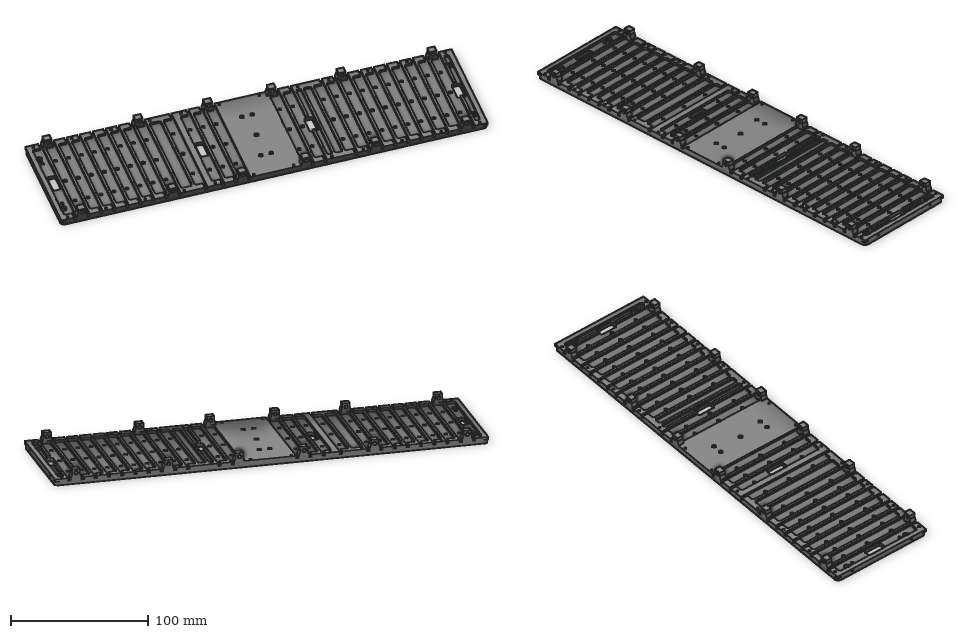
import cadquery as cq

plate_length = 327.5
plate_width = 83.0
plate_height = 5.0
total_height = 11.5

outer_post_spacing = 295.7
middle_post_spacing = 156.0
inner_post_spacing = 48.8
post_width = 5.0
post_length = 5.5
post_taper_top = 8.2
post_hole = 2.5
post_hole_z = 8.5

seat_depth = 2.0
rib_width = 2.0
rim_width = 5.0
pocket_radius = 1.5
narrow_pocket_length = 4.0
pitches_between_outer_posts = 7
upper_seats = 10
lower_seats = 9
upper_inner_seats = 2
lower_inner_seats = 3
lone_seat_y = -51.5

window_width = 15.0
window_length = 6.5
window_radius = 1.5
window_ys = (-155.2, -42.0, 42.0, 155.2)

seat_hole_x = 22.3
seat_side_hole = 2.3
seat_center_hole = 2.5
mount_hole = 3.0
mount_center_hole = 3.3
mount_x = 21.5
mount_y = 4.0
edge_hole = 1.5
edge_hole_x = 39.3
edge_hole_ys = (15.5, 45.0, 68.8, 98.5, 128.7, 158.2)

screw_x = 27.5
screw_z = 3.3
screw_hole = 1.5
well_radius = 2.5
well_center_y = 158.0
well_flat_y = 159.2

corner_radius = 3.3
corner_height = 3.0

half_width = plate_width / 2
half_length = plate_length / 2
outer_post_y = outer_post_spacing / 2
middle_post_y = middle_post_spacing / 2
inner_post_y = inner_post_spacing / 2
pitch = (outer_post_y - middle_post_y) / pitches_between_outer_posts
floor_z = plate_height - seat_depth
land_length = pitch - rib_width
post_to_wall = land_length / 2 + rib_width

upper_wall = outer_post_y + post_to_wall
upper_inner_wall = inner_post_y + post_to_wall + pitch
lower_inner_wall = -inner_post_y + post_to_wall
lower_wall = -middle_post_y + post_to_wall
seat_groups = (
    (upper_wall, upper_seats),
    (upper_inner_wall, upper_inner_seats),
    (lower_inner_wall, lower_inner_seats),
    (lone_seat_y, 1),
    (lower_wall, lower_seats),
)
wall_ys = [first - i * pitch for first, count in seat_groups for i in range(count)]


def pocket(top_y, bottom_y):
    """Round-cornered pocket between two Y positions."""
    return (
        cq.Workplane("XY", origin=(0, (top_y + bottom_y) / 2, floor_z))
        .rect(plate_width - 2 * rim_width, top_y - bottom_y)
        .extrude(seat_depth)
        .edges("|Z")
        .fillet(pocket_radius)
    )


def channel(wall_y):
    """Shallow channel across the full plate width."""
    return (
        cq.Workplane("XY", origin=(0, wall_y - rib_width / 2, floor_z))
        .rect(plate_width, rib_width)
        .extrude(seat_depth)
    )


def holes(points, diameter):
    """Vertical holes through the plate."""
    return cq.Workplane("XY").pushPoints(points).circle(diameter / 2).extrude(plate_height)


def four_ways(x, y):
    """The point and its mirror images in both middle planes."""
    return [(sx * x, sy * y) for sx in (-1, 1) for sy in (-1, 1)]


def end_screw():
    """Screw hole from the +Y end face with its well."""
    well = holes([(screw_x, well_center_y)], 2 * well_radius)
    beyond_flat = (
        cq.Workplane("XY", origin=(screw_x, well_flat_y + well_radius, 0))
        .rect(2 * well_radius, 2 * well_radius)
        .extrude(plate_height)
    )
    screw = (
        cq.Workplane("XZ", origin=(screw_x, half_length, screw_z))
        .circle(screw_hole / 2)
        .extrude(half_length - well_center_y)
    )
    return well.cut(beyond_flat).union(screw)


def corner_waste():
    """Material outside the rounded lower part of the +X +Y corner."""
    square = (
        cq.Workplane("XY", origin=(half_width - corner_radius, half_length - corner_radius, 0))
        .rect(corner_radius, corner_radius, centered=False)
        .extrude(corner_height)
    )
    round_corner = (
        cq.Workplane("XY", origin=(half_width - corner_radius, half_length - corner_radius, 0))
        .circle(corner_radius)
        .extrude(corner_height)
    )
    return square.cut(round_corner)


def post(y):
    """Tapered, cross-drilled post on the +X side."""
    half_post = post_length / 2
    half_land = land_length / 2
    outline = [
        (-half_land, floor_z),
        (half_land, floor_z),
        (half_land, plate_height),
        (half_post, post_taper_top),
        (half_post, total_height),
        (-half_post, total_height),
        (-half_post, post_taper_top),
        (-half_land, plate_height),
    ]
    side = cq.Workplane("YZ", origin=(half_width - post_width, y, 0))
    body = side.polyline(outline).close().extrude(post_width)
    bore = side.center(0, post_hole_z).circle(post_hole / 2).extrude(post_width)
    return body.cut(bore)


plate = cq.Workplane("XY").rect(plate_width, plate_length).extrude(plate_height)

for wall_y in wall_ys:
    plate = plate.cut(channel(wall_y)).cut(pocket(wall_y, wall_y - land_length))

end_pocket_bottom = upper_wall + rib_width
window_pocket_bottom = upper_inner_wall + rib_width
window_pocket_top = window_pocket_bottom + narrow_pocket_length
plate = plate.cut(pocket(end_pocket_bottom + narrow_pocket_length, end_pocket_bottom))
plate = plate.cut(pocket(window_pocket_top, window_pocket_bottom))
plate = plate.cut(pocket(upper_wall - upper_seats * pitch, window_pocket_top + rib_width))
plate = plate.cut(pocket(lone_seat_y - pitch, lower_wall + rib_width))

windows = (
    cq.Workplane("XY")
    .pushPoints([(0, y) for y in window_ys])
    .rect(window_width, window_length)
    .extrude(plate_height)
    .edges("|Z")
    .fillet(window_radius)
)
plate = plate.cut(windows)

seat_hole_ys = [wall_y - pitch / 2 for wall_y in wall_ys]
side_hole_points = [(side * seat_hole_x, y) for side in (-1, 1) for y in seat_hole_ys]
edge_hole_points = [point for y in edge_hole_ys for point in four_ways(edge_hole_x, y)]
plate = plate.cut(holes(side_hole_points, seat_side_hole))
plate = plate.cut(holes([(0, y) for y in seat_hole_ys], seat_center_hole))
plate = plate.cut(holes(four_ways(mount_x, mount_y), mount_hole))
plate = plate.cut(holes([(0, 0)], mount_center_hole))
plate = plate.cut(holes(edge_hole_points, edge_hole))

for tool in (end_screw(), corner_waste()):
    for sided_tool in (tool, tool.mirror("YZ")):
        plate = plate.cut(sided_tool).cut(sided_tool.mirror("XZ"))

for post_y in (inner_post_y, middle_post_y, outer_post_y):
    for y in (-post_y, post_y):
        plate = plate.union(post(y)).union(post(y).mirror("YZ"))

result = plate